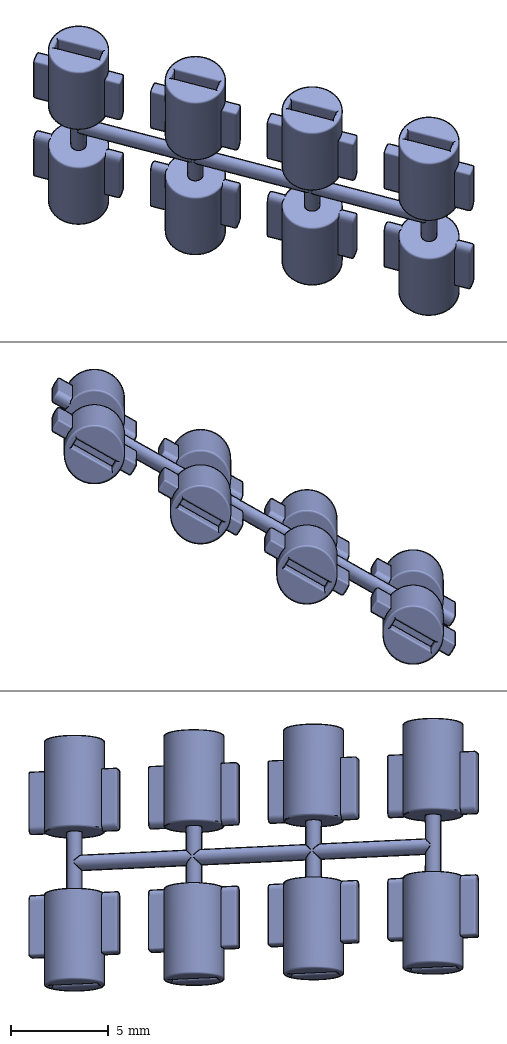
import cadquery as cq

PLUGS_PER_ROW = 4
PITCH = 6.3
ROW_GAP = 3.2

BARREL_DIAMETER = 3.1
BARREL_LENGTH = 4.8
RIM_FILLET = 0.1

FIN_SPAN = 4.7
FIN_THICKNESS = 0.7
FIN_LENGTH = 3.2
FIN_NOSE_RADIUS = 0.33
FIN_EDGE_FILLET = 0.1

SLOT_LENGTH = 2.4
SLOT_WIDTH = 0.52
SLOT_DEPTH = 1.0
SLOT_MOUTH_FILLET = 0.1

ROD_DIAMETER = 0.8


def make_barrel():
    """Round barrel standing on the XY plane, with both rims rounded."""
    return (
        cq.Workplane("XY")
        .circle(BARREL_DIAMETER / 2)
        .extrude(BARREL_LENGTH)
        .faces("<Z or >Z")
        .edges()
        .fillet(RIM_FILLET)
    )


def make_fins():
    """Flat bar through the barrel axis: round ends, rounded nose at the base, other edges softened."""
    bar = cq.Workplane("XY").box(FIN_SPAN, FIN_THICKNESS, FIN_LENGTH, centered=(True, True, False))
    bar = bar.faces("<Z").edges("|X").fillet(FIN_NOSE_RADIUS)
    bar = bar.intersect(cq.Workplane("XY").circle(FIN_SPAN / 2).extrude(FIN_LENGTH))
    return bar.faces("<X or >X or >Z").edges().fillet(FIN_EDGE_FILLET)


def make_slot():
    """Slot volume sunk into the outer end of the barrel."""
    return (
        cq.Workplane("XY")
        .workplane(offset=BARREL_LENGTH - SLOT_DEPTH)
        .rect(SLOT_LENGTH, SLOT_WIDTH)
        .extrude(SLOT_DEPTH)
    )


def make_plug():
    """Finned plug standing on the XY plane, with a slot of rounded mouth in its top."""
    slotted_barrel = make_barrel().cut(make_slot())
    slotted_barrel = slotted_barrel.faces(">Z").edges("|X or |Y").fillet(SLOT_MOUTH_FILLET)
    return slotted_barrel.union(make_fins())


def make_sprue(columns):
    """Cross rod along X with one upright rod between each pair of plugs."""
    sprue = (
        cq.Workplane("YZ")
        .workplane(offset=columns[0])
        .circle(ROD_DIAMETER / 2)
        .extrude(columns[-1] - columns[0])
    )
    for x in columns:
        upright = cq.Workplane("XY").circle(ROD_DIAMETER / 2).extrude(ROW_GAP)
        sprue = sprue.union(upright.translate((x, 0, -ROW_GAP / 2)))
    return sprue


columns = [(i - (PLUGS_PER_ROW - 1) / 2) * PITCH for i in range(PLUGS_PER_ROW)]

upper_plug = make_plug().translate((0, 0, ROW_GAP / 2))
lower_plug = upper_plug.mirror("XY")

plugs = []
for x in columns:
    for plug in (upper_plug, lower_plug):
        plugs.append(plug.translate((x, 0, 0)).val())

sprue = make_sprue(columns)

result = cq.Compound.makeCompound([sprue.val(), *plugs])